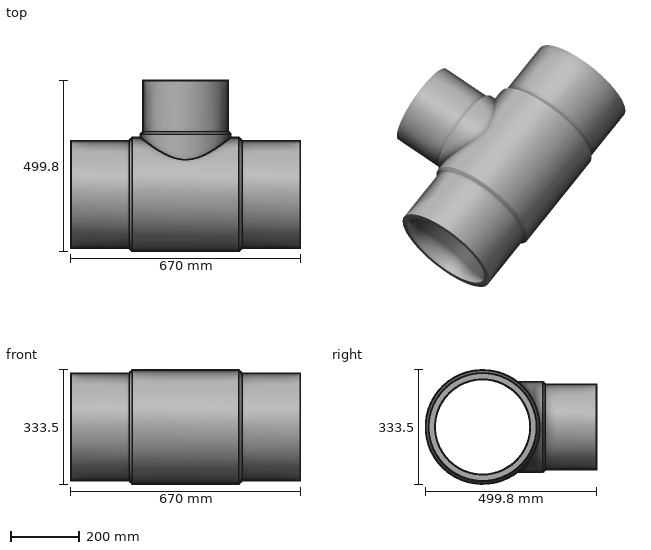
import cadquery as cq

run_length = 670.0
run_diameter = 315.0
run_bore = 277.5
body_diameter = 333.5
body_length = 329.5
body_chamfer = (body_diameter - run_diameter) / 2

branch_reach = 333.0
branch_diameter = 250.0
branch_bore = 220.5
collar_diameter = 264.5
collar_reach = 183.5
collar_chamfer = (collar_diameter - branch_diameter) / 2


def run_cylinder(diameter, length):
    """Cylinder along X, centred on the origin."""
    return cq.Workplane("YZ").circle(diameter / 2).extrude(length / 2, both=True)


def branch_cylinder(diameter, reach):
    """Cylinder from the run axis out along +Y."""
    return cq.Workplane("XZ").circle(diameter / 2).extrude(-reach)


body = run_cylinder(body_diameter, body_length).edges().chamfer(body_chamfer)
collar = branch_cylinder(collar_diameter, collar_reach).faces(">Y").edges().chamfer(collar_chamfer)

tee = run_cylinder(run_diameter, run_length).union(body)
tee = tee.union(collar).union(branch_cylinder(branch_diameter, branch_reach))

result = tee.cut(run_cylinder(run_bore, run_length)).cut(branch_cylinder(branch_bore, branch_reach))